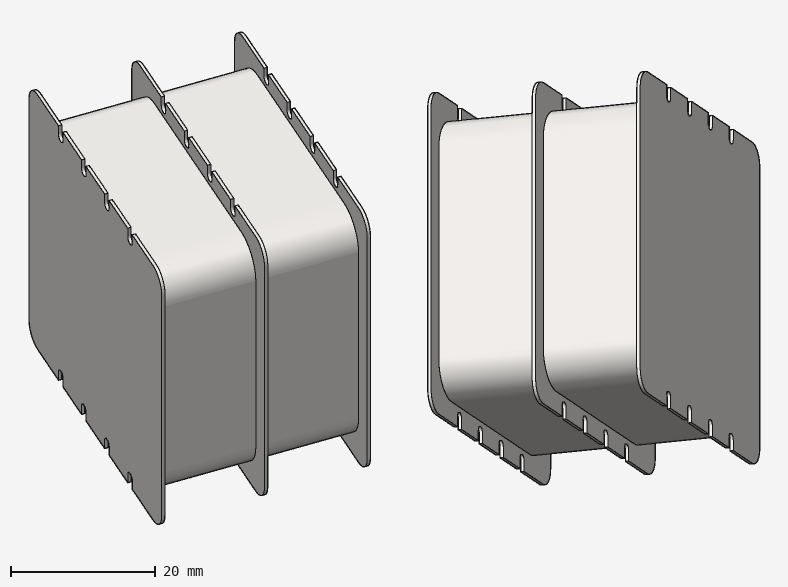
import cadquery as cq

plate_side = 46.0
plate_corner_radius = 3.0
overall_depth = 31.5
plate_thickness = 0.5
plate_count = 3

core_side = 40.0
core_corner_radius = 5.0

slot_count = 4
slot_pitch = 8.0
slot_width = 1.5
slot_depth = 2.25

plate_pitch = (overall_depth - plate_thickness) / (plate_count - 1)
first_plate_y = -overall_depth / 2


def rounded_square(side, corner_radius, depth, start_y):
    """Square block with rounded corners, running along +Y from start_y."""
    return (
        cq.Workplane("XY")
        .box(side, depth, side, centered=(True, False, True))
        .edges("|Y")
        .fillet(corner_radius)
        .translate((0, start_y, 0))
    )


def edge_slots(start_y):
    """Round-bottomed wire slots through one plate, open at its top and bottom edges."""
    slot_length = 2 * slot_depth
    slot_centres = [
        ((i - (slot_count - 1) / 2) * slot_pitch, side * plate_side / 2)
        for i in range(slot_count)
        for side in (-1, 1)
    ]
    return (
        cq.Workplane("XZ", origin=(0, start_y, 0))
        .pushPoints(slot_centres)
        .slot2D(slot_length, slot_width, 90)
        .extrude(-plate_thickness)
    )


result = rounded_square(core_side, core_corner_radius, overall_depth, first_plate_y)

for i in range(plate_count):
    plate_y = first_plate_y + i * plate_pitch
    plate = rounded_square(plate_side, plate_corner_radius, plate_thickness, plate_y)
    result = result.union(plate.cut(edge_slots(plate_y)))